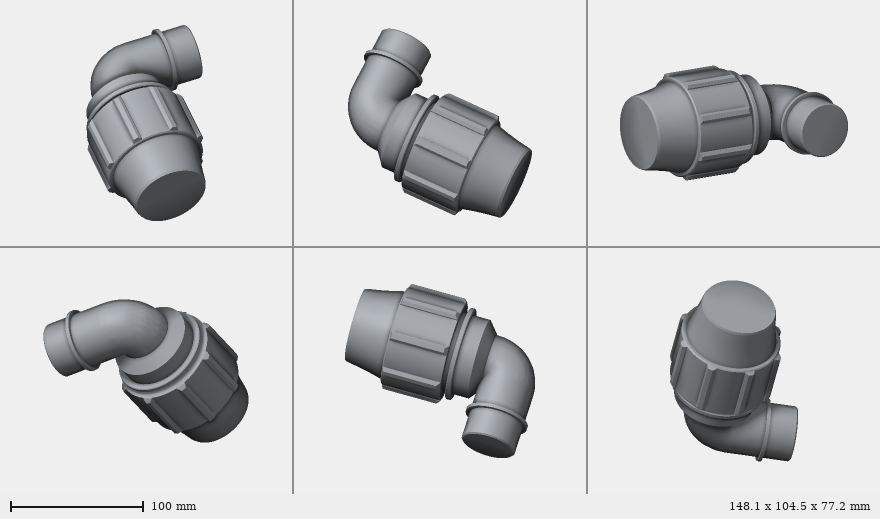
import cadquery as cq

pipe_radius = 41.9 / 2
bend_radius = 16.9
spigot_end = 65.9
spigot_chamfer = 1.0
collar_radius = 48.1 / 2
collar_start = 41.5
collar_width = 2.7

neck_end = 18.2
body_start = 26.4
body_radius = 61.5 / 2
ring_start = 39.1
ring_end = 43.0
ring_radius = 71.4 / 2
ring_chamfer = 0.6

nut_start = 47.0
nut_end = 93.0
nut_radius = 38.0
nut_chamfer = 0.9
taper_start_radius = 34.7
taper_middle_radius = 31.0
taper_end_radius = 28.6
overall_length = 148.1
coupling_end = overall_length - collar_radius
sleeve_chamfer_length = 1.8
sleeve_chamfer_depth = 0.7

rib_count = 8
rib_angle = 360 / rib_count
rib_tip = 41.0
rib_shoulder = 38.8
rib_root = 35.5
rib_half_width = 3.7
rib_tip_half_width = 1.85
rib_lead_in = 2.5
rib_end_slope = 1.0


def x_cylinder(start, end, radius):
    return cq.Workplane("YZ").workplane(offset=start).circle(radius).extrude(end - start)


def y_cylinder(start, end, radius):
    return cq.Workplane("XZ").workplane(offset=-start).circle(radius).extrude(start - end)


def make_elbow():
    half_chord = (pipe_radius**2 - bend_radius**2) ** 0.5
    bend = (
        cq.Workplane("XZ", origin=(0, bend_radius, 0))
        .moveTo(bend_radius, -half_chord)
        .threePointArc((-pipe_radius, 0), (bend_radius, half_chord))
        .close()
        .revolve(90, (bend_radius, 0), (bend_radius, 1))
    )
    spigot = y_cylinder(bend_radius, spigot_end, pipe_radius).faces(">Y").chamfer(spigot_chamfer)
    collar = y_cylinder(collar_start, collar_start + collar_width, collar_radius)
    return bend.union(spigot).union(collar)


def make_coupling():
    taper_middle = (nut_end + coupling_end) / 2
    body = (
        cq.Workplane("XY")
        .moveTo(bend_radius, 0)
        .lineTo(bend_radius, pipe_radius)
        .lineTo(neck_end, pipe_radius)
        .lineTo(body_start, body_radius)
        .lineTo(nut_start, body_radius)
        .lineTo(nut_start, nut_radius)
        .lineTo(nut_end - nut_chamfer, nut_radius)
        .lineTo(nut_end, nut_radius - nut_chamfer)
        .lineTo(nut_end, taper_start_radius)
        .threePointArc(
            (taper_middle, taper_middle_radius),
            (coupling_end - sleeve_chamfer_length, taper_end_radius),
        )
        .lineTo(coupling_end, taper_end_radius - sleeve_chamfer_depth)
        .lineTo(coupling_end, 0)
        .close()
        .revolve(360, (0, 0), (1, 0))
    )
    ring = x_cylinder(ring_start, ring_end, ring_radius).edges().chamfer(ring_chamfer)
    return body.union(ring)


def make_rib():
    rib_end = nut_end - nut_chamfer
    section = (
        cq.Workplane("YZ")
        .workplane(offset=nut_start)
        .polyline([
            (-rib_half_width, rib_root),
            (-rib_half_width, rib_shoulder),
            (-rib_tip_half_width, rib_tip),
            (rib_tip_half_width, rib_tip),
            (rib_half_width, rib_shoulder),
            (rib_half_width, rib_root),
        ])
        .close()
        .extrude(rib_end - nut_start)
    )
    side_profile = (
        cq.Workplane("XZ")
        .polyline([
            (nut_start, rib_root),
            (nut_start, rib_tip - rib_lead_in),
            (nut_start + rib_lead_in, rib_tip),
            (rib_end - rib_end_slope, rib_tip),
            (rib_end, nut_radius),
            (rib_end, rib_root),
        ])
        .close()
        .extrude(rib_half_width, both=True)
    )
    return section.intersect(side_profile)


result = make_elbow().union(make_coupling())
rib = make_rib()
for index in range(rib_count):
    angle = (index + 0.5) * rib_angle
    result = result.union(rib.rotate((0, 0, 0), (1, 0, 0), angle))